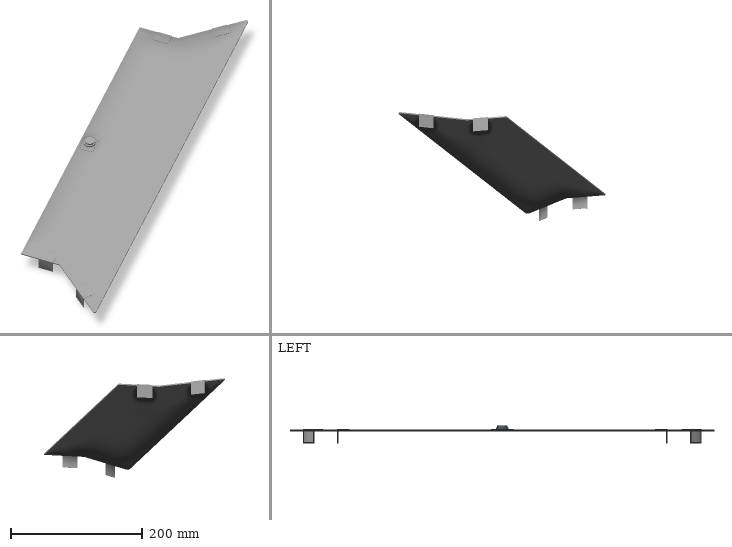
import cadquery as cq
import math

panel_length = 647.0
panel_width = 150.0
panel_thickness = 2.0
left_edge_length = 502.0
shoulder_width = 63.0
tip_radius = 2.5

clip_width = 24.0
clip_thickness = 0.5
clip_flange = 17.0
clip_drop = 20.0
end_clip_x = 41.0
slant_clip_x = 114.0

base_width = 21.5
base_length = 33.0
base_thickness = 0.5
base_corner_radius = 6.0
latch_x = 15.5
knob_collar_diameter = 18.0
knob_collar_height = 2.25
knob_diameter = 14.0
overall_height = 26.0

left_half = left_edge_length / 2

tip_center_x = panel_width - tip_radius
tip_center_y = panel_length / 2 - tip_radius
tip_run = tip_center_x - shoulder_width
tip_rise = tip_center_y - left_half
slant = math.atan2(tip_rise, tip_run) + math.asin(tip_radius / math.hypot(tip_run, tip_rise))

knob_top = overall_height - clip_drop


def slant_y(x):
    """Y of the +Y slanted edge at a given X."""
    return left_half + (x - shoulder_width) * math.tan(slant)


def make_panel():
    tangent_x = tip_center_x - tip_radius * math.sin(slant)
    tangent_y = tip_center_y + tip_radius * math.cos(slant)
    top = panel_length / 2
    return (
        cq.Workplane("XY")
        .moveTo(0, -left_half)
        .lineTo(shoulder_width, -left_half)
        .lineTo(tangent_x, -tangent_y)
        .threePointArc((tip_center_x, -top), (panel_width, -tip_center_y))
        .lineTo(panel_width, tip_center_y)
        .threePointArc((tip_center_x, top), (tangent_x, tangent_y))
        .lineTo(shoulder_width, left_half)
        .lineTo(0, left_half)
        .close()
        .extrude(-panel_thickness)
    )


def make_clip(x, edge_y, angle):
    """Clip on the +Y side, at a point of the panel edge that runs at the given angle."""
    profile = [
        (-clip_flange, 0),
        (0, 0),
        (0, -clip_drop),
        (clip_thickness, -clip_drop),
        (clip_thickness, clip_thickness),
        (-clip_flange, clip_thickness),
    ]
    clip = cq.Workplane("YZ").polyline(profile).close().extrude(clip_width / 2, both=True)
    return clip.rotate((0, 0, 0), (0, 0, 1), angle).translate((x, edge_y, 0))


def make_latch_base():
    return (
        cq.Workplane("XY")
        .center(latch_x, 0)
        .rect(base_width, base_length)
        .extrude(base_thickness)
        .edges("|Z")
        .fillet(base_corner_radius)
    )


def make_knob():
    collar_top = base_thickness + knob_collar_height
    collar = (
        cq.Workplane("XY", origin=(latch_x, 0, base_thickness))
        .circle(knob_collar_diameter / 2)
        .extrude(knob_collar_height)
    )
    grip = (
        cq.Workplane("XY", origin=(latch_x, 0, collar_top))
        .circle(knob_diameter / 2)
        .extrude(knob_top - collar_top)
    )
    return collar.union(grip)


panel = make_panel()
latch_base = make_latch_base()
knob = make_knob()

clips = []
for x, edge_y, angle in [
    (end_clip_x, left_half, 0),
    (slant_clip_x, slant_y(slant_clip_x), math.degrees(slant)),
]:
    clip = make_clip(x, edge_y, angle)
    clips.append(clip.val())
    clips.append(clip.mirror("XZ").val())

result = cq.Compound.makeCompound([panel.val(), latch_base.val(), knob.val(), *clips])